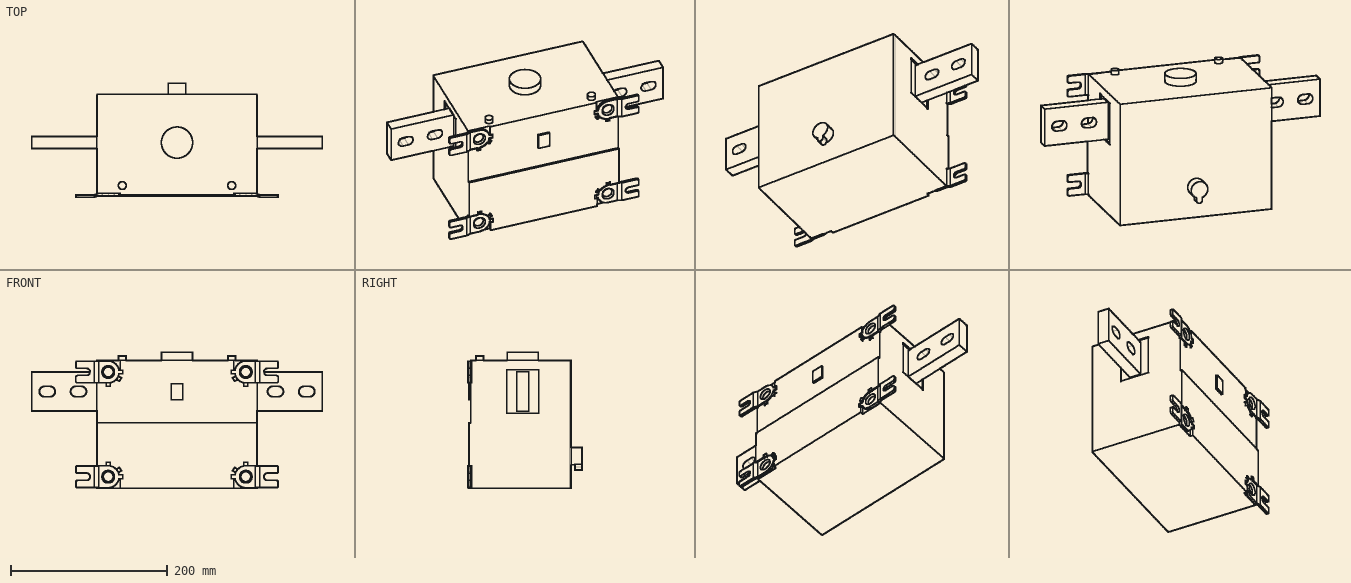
import cadquery as cq


BODY_WIDTH = 205.0
BODY_HEIGHT = 164.0
BODY_BACK_Y = 62.0
LOWER_FRONT_Y = -69.0
UPPER_FRONT_Y = -66.7
FRONT_STEP_Z = 84.0
BACK_CHAMFER_DEPTH = 2.2
BACK_CHAMFER_SIDE = 0.5

BAR_SPAN = 372.0
BAR_THICKNESS = 15.5
BAR_HEIGHT = 50.0
BAR_CENTER_Z = 124.0
BAR_SLOT_LENGTH = 20.0
BAR_SLOT_WIDTH = 13.0
BAR_SLOT_XS = (126.0, 166.0)
WINDOW_WIDTH = 40.5
WINDOW_HEIGHT = 56.0
WINDOW_DEPTH = 2.0

KNOB_DIAMETER = 40.0
KNOB_HEIGHT = 10.5
PIN_DIAMETER = 10.0
PIN_HEIGHT = 5.5
PIN_X = 70.0
PIN_Y = -55.0

LABEL_WIDTH = 15.0
LABEL_HEIGHT = 20.5

SHAFT_DIAMETER = 22.4
SHAFT_Z = 41.5
SHAFT_END_Y = 75.9
LUG_THICKNESS = 9.0
LUG_WIDTH = 8.0
LUG_BOTTOM_Z = 23.5

BRACKET_THICKNESS = 3.0
BRACKET_RADIUS = 14.0
BRACKET_X = 88.0
BRACKET_Z_INSET = 15.0
PLATE_BACK_Y = -64.9
TAB_FRONT_Y = -70.0
TAB_END_X = 129.4
SLOPE_OUTER_X = 106.0
SLOPE_INNER_X = 100.3
TAB_SLOT_END_X = 111.3
TAB_SLOT_WIDTH = 9.0
TAB_CORNER_RADIUS = 2.2
POCKET_CORNER_LENGTH = 29.8
TOOTH_REACH = 18.5
TOOTH_WIDTH = 5.0
POCKET_SLOT_ANGLES = (32.0, 90.0)
SINK_DIAMETER = 16.0
SINK_FLOOR_DIAMETER = 12.8

half_width = BODY_WIDTH / 2
plate_front_y = PLATE_BACK_Y - BRACKET_THICKNESS
tab_back_y = TAB_FRONT_Y + BRACKET_THICKNESS


def box(x_range, y_range, z_range):
    """Box between the given limits along each axis."""
    (x0, x1), (y0, y1), (z0, z1) = x_range, y_range, z_range
    return cq.Workplane("XY").box(x1 - x0, y1 - y0, z1 - z0, centered=False).translate((x0, y0, z0))


def cylinder_along_y(diameter, x, z, y_start, y_end):
    """Round bar parallel to Y."""
    solid = cq.Solid.makeCylinder(diameter / 2, y_end - y_start, cq.Vector(x, y_start, z), cq.Vector(0, 1, 0))
    return cq.Workplane(obj=solid)


def make_housing():
    """Housing block, with a stepped front and chamfered rear side edges."""
    plan = [
        (-half_width, LOWER_FRONT_Y),
        (half_width, LOWER_FRONT_Y),
        (half_width, BODY_BACK_Y - BACK_CHAMFER_DEPTH),
        (half_width - BACK_CHAMFER_SIDE, BODY_BACK_Y),
        (-half_width + BACK_CHAMFER_SIDE, BODY_BACK_Y),
        (-half_width, BODY_BACK_Y - BACK_CHAMFER_DEPTH),
    ]
    housing = cq.Workplane("XY").polyline(plan).close().extrude(BODY_HEIGHT)
    step = box((-half_width, half_width), (LOWER_FRONT_Y, UPPER_FRONT_Y), (FRONT_STEP_Z, BODY_HEIGHT))
    label = box(
        (-LABEL_WIDTH / 2, LABEL_WIDTH / 2),
        (LOWER_FRONT_Y, UPPER_FRONT_Y),
        (BAR_CENTER_Z - LABEL_HEIGHT / 2, BAR_CENTER_Z + LABEL_HEIGHT / 2),
    )
    return housing.cut(step).union(label)


def cut_bar_windows(housing):
    """Recess each side face around its terminal bar."""
    for side in (-1, 1):
        window = cq.Workplane("XY").box(2 * WINDOW_DEPTH, WINDOW_WIDTH, WINDOW_HEIGHT)
        housing = housing.cut(window.translate((side * half_width, 0, BAR_CENTER_Z)))
    return housing


def make_bar():
    """Terminal bar through the housing, with two slots at each end."""
    bar = cq.Workplane("XY").box(BAR_SPAN, BAR_THICKNESS, BAR_HEIGHT)
    slot_centers = [(side * x, 0) for side in (-1, 1) for x in BAR_SLOT_XS]
    slots = (
        cq.Workplane("XZ")
        .pushPoints(slot_centers)
        .slot2D(BAR_SLOT_LENGTH, BAR_SLOT_WIDTH)
        .extrude(BAR_THICKNESS, both=True)
    )
    return bar.cut(slots).translate((0, 0, BAR_CENTER_Z))


def make_top_fittings():
    """Central knob and two front pins on the top face."""
    top = cq.Workplane("XY").workplane(offset=BODY_HEIGHT)
    knob = top.circle(KNOB_DIAMETER / 2).extrude(KNOB_HEIGHT)
    pins = top.pushPoints([(-PIN_X, PIN_Y), (PIN_X, PIN_Y)]).circle(PIN_DIAMETER / 2).extrude(PIN_HEIGHT)
    return knob.union(pins)


def make_rear_shaft():
    """Shaft on the back face, with a round-ended lug hanging from its outer end."""
    lug_y = (SHAFT_END_Y - LUG_THICKNESS, SHAFT_END_Y)
    lug_round_z = LUG_BOTTOM_Z + LUG_WIDTH / 2
    shaft = cylinder_along_y(SHAFT_DIAMETER, 0, SHAFT_Z, BODY_BACK_Y, SHAFT_END_Y)
    lug = box((-LUG_WIDTH / 2, LUG_WIDTH / 2), lug_y, (lug_round_z, SHAFT_Z))
    lug_end = cylinder_along_y(LUG_WIDTH, 0, lug_round_z, *lug_y)
    return shaft.union(lug).union(lug_end)


def tooth(angle, y_range):
    """Radial finger from the lower left bracket centre, turned up from +X by the angle."""
    finger = box((0, TOOTH_REACH), y_range, (-TOOTH_WIDTH / 2, TOOTH_WIDTH / 2))
    finger = finger.rotate((0, 0, 0), (0, 1, 0), -angle)
    return finger.translate((-BRACKET_X, 0, BRACKET_Z_INSET))


def bracket_outline(y_range):
    """Round-nosed strip covering the lower left bracket, together with its locating tooth."""
    z_range = (BRACKET_Z_INSET - BRACKET_RADIUS, BRACKET_Z_INSET + BRACKET_RADIUS)
    strip = box((-TAB_END_X, -BRACKET_X), y_range, z_range)
    nose = cylinder_along_y(2 * BRACKET_RADIUS, -BRACKET_X, BRACKET_Z_INSET, *y_range)
    return strip.union(nose).union(tooth(0, y_range))


def make_lower_left_pocket():
    """Housing cut for the bracket: its outline, an open corner and the spare tooth slots."""
    y_range = (LOWER_FRONT_Y, PLATE_BACK_Y)
    corner = box((-half_width, -half_width + POCKET_CORNER_LENGTH), y_range, (0, BRACKET_Z_INSET))
    pocket = bracket_outline(y_range).union(corner)
    for angle in POCKET_SLOT_ANGLES:
        pocket = pocket.union(tooth(angle, y_range))
    return pocket


def make_lower_left_bracket():
    """Cranked bracket with a countersink in its plate and an open slot in its tab."""
    inner_x = -BRACKET_X + TOOTH_REACH
    profile = [
        (-TAB_END_X, TAB_FRONT_Y),
        (-SLOPE_OUTER_X, TAB_FRONT_Y),
        (-SLOPE_INNER_X, plate_front_y),
        (inner_x, plate_front_y),
        (inner_x, PLATE_BACK_Y),
        (-SLOPE_INNER_X, PLATE_BACK_Y),
        (-SLOPE_OUTER_X, tab_back_y),
        (-TAB_END_X, tab_back_y),
    ]
    cranked_strip = cq.Workplane("XY").polyline(profile).close().extrude(2 * BRACKET_Z_INSET)
    bracket = cranked_strip.intersect(bracket_outline((TAB_FRONT_Y, PLATE_BACK_Y)))

    slot_radius = TAB_SLOT_WIDTH / 2
    slot_round_x = -TAB_SLOT_END_X - slot_radius
    tab_y = (TAB_FRONT_Y, tab_back_y)
    slot_z = (BRACKET_Z_INSET - slot_radius, BRACKET_Z_INSET + slot_radius)
    bracket = bracket.cut(box((-TAB_END_X, slot_round_x), tab_y, slot_z))
    bracket = bracket.cut(cylinder_along_y(TAB_SLOT_WIDTH, slot_round_x, BRACKET_Z_INSET, *tab_y))
    bracket = bracket.faces("<X").edges("|Y").fillet(TAB_CORNER_RADIUS)

    countersink = cq.Solid.makeCone(
        SINK_DIAMETER / 2,
        SINK_FLOOR_DIAMETER / 2,
        BRACKET_THICKNESS,
        cq.Vector(-BRACKET_X, plate_front_y, BRACKET_Z_INSET),
        cq.Vector(0, 1, 0),
    )
    return bracket.cut(cq.Workplane(obj=countersink))


def at_four_corners(feature):
    """The lower left feature and its mirror images at the other three corners."""
    lower_pair = [feature, feature.mirror("YZ")]
    upper_pair = [item.mirror("XY", (0, 0, BODY_HEIGHT / 2)) for item in lower_pair]
    return lower_pair + upper_pair


result = cut_bar_windows(make_housing())
for pocket in at_four_corners(make_lower_left_pocket()):
    result = result.cut(pocket)
for bracket in at_four_corners(make_lower_left_bracket()):
    result = result.union(bracket)
result = result.union(make_bar()).union(make_top_fittings()).union(make_rear_shaft())